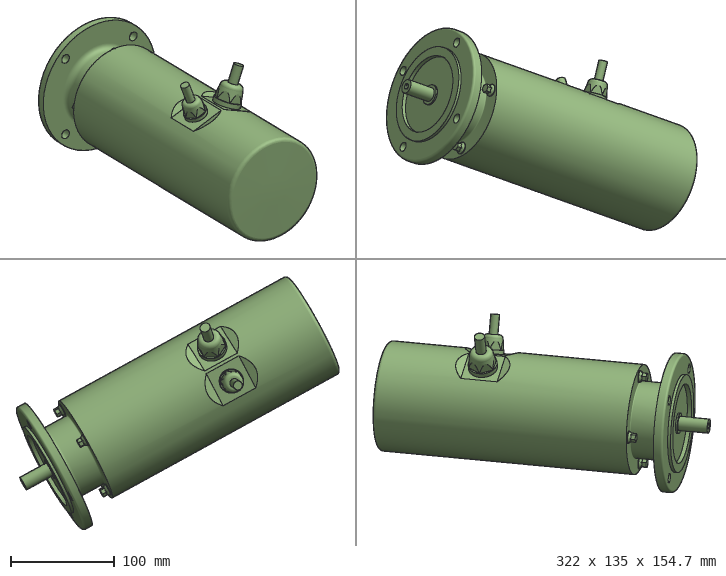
import cadquery as cq
import math

overall_length = 322.0
shaft_diameter = 14.0
center_hole_diameter = 3.5
center_hole_depth = 9.5
center_bore_diameter = 4.5
center_bore_depth = 4.0
center_mouth_diameter = 5.8
center_mouth_angle = 60.0

pilot_front_x = 26.5
pilot_diameter = 95.0
pilot_recess_diameter = 77.0
pilot_recess_depth = 4.2
shaft_boss_diameter = 20.0
shaft_boss_height = 1.5

flange_front_x = 29.3
flange_back_x = 38.5
flange_diameter = 135.0
flange_rim_fillet = 2.3
flange_hole_count = 4
flange_hole_start_angle = 45.0
flange_hole_diameter = 9.0
flange_hole_circle_diameter = 115.0

neck_diameter = 75.0
neck_flare = 5.8
neck_root_fillet = 1.0

barrel_front_x = 69.0
barrel_diameter = 107.0
rear_cone_height = 1.13
rear_fillet = 3.5

screw_count = 4
screw_circle_diameter = 90.0
screw_across_corners = 8.7
screw_head_height = 7.7
screw_collar_diameter = 12.0
screw_collar_rim = 0.5
screw_collar_taper = 3.0

seat_center_x = 219.5
seat_tilt = 21.1
seat_depth = 3.05
seat_length = 36.0
seat_ramp_angle = 20.0

large_cable_end_radius = 91.5
small_cable_end_radius = 88.2

neck_radius = neck_diameter / 2
barrel_radius = barrel_diameter / 2
seat_distance = barrel_radius - seat_depth


def axial_cylinder(diameter, start_x, end_x):
    """Cylinder on the motor axis between two X positions."""
    return cq.Workplane("YZ").workplane(offset=start_x).circle(diameter / 2).extrude(end_x - start_x)


def axial_cone(start_diameter, end_diameter, start_x, end_x):
    """Truncated cone on the motor axis between two X positions."""
    cone = (
        cq.Workplane("XY")
        .moveTo(start_x, 0)
        .lineTo(start_x, start_diameter / 2)
        .lineTo(end_x, end_diameter / 2)
        .lineTo(end_x, 0)
        .close()
    )
    return cone.revolve(360, (0, 0, 0), (1, 0, 0))


def make_barrel():
    """Barrel with a very shallow cone on its rear end and a rounded rear rim."""
    rim_x = overall_length - rear_cone_height
    selection_margin = rear_cone_height / 4
    barrel = (
        cq.Workplane("XY")
        .moveTo(barrel_front_x, 0)
        .lineTo(barrel_front_x, barrel_radius)
        .lineTo(rim_x, barrel_radius)
        .lineTo(overall_length, 0)
        .close()
        .revolve(360, (0, 0, 0), (1, 0, 0))
    )
    rim = cq.selectors.BoxSelector(
        (rim_x - selection_margin, -barrel_diameter, -barrel_diameter),
        (rim_x + selection_margin, barrel_diameter, barrel_diameter),
        boundingbox=True,
    )
    return barrel.edges(rim).fillet(rear_fillet)


def make_flange():
    """Mounting flange with its pilot, recess, bolt holes and the flared neck behind it."""
    plate = axial_cylinder(flange_diameter, flange_front_x, flange_back_x)
    plate = plate.faces("<X").edges().fillet(flange_rim_fillet)
    pilot = axial_cylinder(pilot_diameter, pilot_front_x, flange_front_x)
    neck = (
        cq.Workplane("XY")
        .moveTo(flange_front_x, 0)
        .lineTo(flange_front_x, neck_radius + neck_flare)
        .lineTo(flange_back_x, neck_radius + neck_flare)
        .radiusArc((flange_back_x + neck_flare, neck_radius), -neck_flare)
        .lineTo(barrel_front_x - neck_root_fillet, neck_radius)
        .radiusArc((barrel_front_x, neck_radius + neck_root_fillet), -neck_root_fillet)
        .lineTo(barrel_front_x, 0)
        .close()
        .revolve(360, (0, 0, 0), (1, 0, 0))
    )
    recess_floor_x = pilot_front_x + pilot_recess_depth
    recess = axial_cylinder(pilot_recess_diameter, pilot_front_x, recess_floor_x)
    boss = axial_cylinder(shaft_boss_diameter, recess_floor_x - shaft_boss_height, recess_floor_x)
    holes = (
        cq.Workplane("YZ")
        .workplane(offset=flange_front_x)
        .polarArray(flange_hole_circle_diameter / 2, flange_hole_start_angle, 360, flange_hole_count)
        .circle(flange_hole_diameter / 2)
        .extrude(flange_back_x - flange_front_x)
    )
    return plate.union(pilot).union(neck).cut(recess).union(boss).cut(holes)


def make_shaft():
    """Output shaft with a stepped centre hole and a conical mouth in its free end."""
    half_angle = math.radians(center_mouth_angle / 2)
    mouth_depth = (center_mouth_diameter - center_bore_diameter) / 2 / math.tan(half_angle)
    shaft = axial_cylinder(shaft_diameter, 0, flange_back_x)
    hole = axial_cylinder(center_hole_diameter, 0, center_hole_depth)
    bore = axial_cylinder(center_bore_diameter, 0, center_bore_depth)
    mouth = axial_cone(center_mouth_diameter, center_bore_diameter, 0, mouth_depth)
    return shaft.cut(hole).cut(bore).cut(mouth)


def make_screw_head(angle):
    """Hexagonal screw head on a tapered collar, with a corner of the hexagon pointing outwards."""
    across_flats = screw_across_corners * math.cos(math.pi / 6)
    rim_x = barrel_front_x - screw_collar_rim
    hexagon = (
        cq.Workplane("YZ")
        .workplane(offset=barrel_front_x - screw_head_height)
        .polygon(6, screw_across_corners)
        .extrude(screw_head_height)
    )
    rim = axial_cylinder(screw_collar_diameter, rim_x, barrel_front_x)
    taper = axial_cone(across_flats, screw_collar_diameter, rim_x - screw_collar_taper, rim_x)
    head = hexagon.union(rim).union(taper).translate((0, screw_circle_diameter / 2, 0))
    return head.rotate((0, 0, 0), (1, 0, 0), angle)


def place_on_seat(shape, tilt):
    """Move a shape built upright at the origin onto the seat that is tilted about the motor axis."""
    return shape.translate((seat_center_x, 0, seat_distance)).rotate((0, 0, 0), (1, 0, 0), tilt)


def make_seat_cut(tilt):
    """Flat gland seat with a ramp at each end, cut into the barrel."""
    height = 2 * seat_depth
    ramp_run = height / math.tan(math.radians(seat_ramp_angle))
    half_length = seat_length / 2
    cut = (
        cq.Workplane("XZ")
        .moveTo(-half_length, 0)
        .lineTo(half_length, 0)
        .lineTo(half_length + ramp_run, height)
        .lineTo(-half_length - ramp_run, height)
        .close()
        .extrude(barrel_radius / 2, both=True)
    )
    return place_on_seat(cut, tilt)


def make_motor():
    """Barrel, flange, shaft and screw heads as one solid, with two seats for the glands."""
    motor = make_barrel().union(make_flange()).union(make_shaft())
    for i in range(screw_count):
        motor = motor.union(make_screw_head(i * 360 / screw_count))
    for tilt in (-seat_tilt, seat_tilt):
        motor = motor.cut(make_seat_cut(tilt))
    return motor


def make_gland(tilt, base_diameter, nut_across_flats, crown_diameter, mouth_diameter,
               base_height, top_height, cable_diameter, cable_end_height):
    """Cable gland with its cable; heights are measured from the seat.

    A round base carries a tapered nut with six flats, whose rounded crown closes in on a mouth.
    """
    across_corners = nut_across_flats / math.cos(math.pi / 6)
    hexagon_turn = 30
    crown_fillet = (crown_diameter - mouth_diameter) / 2
    base = cq.Workplane("XY").circle(base_diameter / 2).extrude(base_height)
    tapered_body = (
        cq.Workplane("XZ")
        .moveTo(0, base_height)
        .lineTo(across_corners / 2, base_height)
        .lineTo(crown_diameter / 2, top_height - crown_fillet)
        .radiusArc((mouth_diameter / 2, top_height), -crown_fillet)
        .lineTo(0, top_height)
        .close()
        .revolve(360, (0, 0, 0), (0, 1, 0))
    )
    hexagon = (
        cq.Workplane("XY")
        .workplane(offset=base_height)
        .transformed(rotate=(0, 0, hexagon_turn))
        .polygon(6, across_corners)
        .extrude(top_height - base_height)
    )
    cable = cq.Workplane("XY").circle(cable_diameter / 2).extrude(cable_end_height)
    gland = base.union(tapered_body.intersect(hexagon)).union(cable)
    return place_on_seat(gland, tilt)


motor = make_motor()
large_gland = make_gland(
    tilt=-seat_tilt,
    base_diameter=28.0,
    nut_across_flats=24.0,
    crown_diameter=23.2,
    mouth_diameter=14.0,
    base_height=4.8,
    top_height=22.0,
    cable_diameter=10.0,
    cable_end_height=large_cable_end_radius - seat_distance,
)
small_gland = make_gland(
    tilt=seat_tilt,
    base_diameter=23.2,
    nut_across_flats=20.0,
    crown_diameter=19.3,
    mouth_diameter=12.0,
    base_height=4.0,
    top_height=18.5,
    cable_diameter=8.7,
    cable_end_height=small_cable_end_radius - seat_distance,
)

result = cq.Compound.makeCompound([motor.val(), large_gland.val(), small_gland.val()])